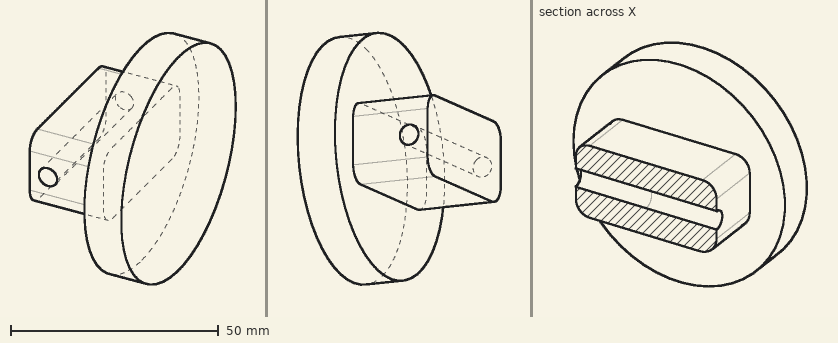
import cadquery as cq

flange_diameter = 60.0
flange_thickness = 10.0

overall_length = 30.0
block_length = overall_length - flange_thickness
block_width = 40.0
block_height = 20.0
corner_radius = 4.0
large_corner_radius = 5.0

hole_diameter = 5.0
hole_end_distance = 5.0


def make_flange():
    return cq.Workplane("YZ").circle(flange_diameter / 2).extrude(flange_thickness)


def make_block():
    block = cq.Workplane("YZ").rect(block_width, block_height).extrude(-block_length)
    block = block.edges("|X and >Z").fillet(corner_radius)
    block = block.edges("|X").edges("<Z").edges(">Y").fillet(corner_radius)
    return block.edges("|X").edges("<Z").edges("<Y").fillet(large_corner_radius)


def make_cross_hole():
    return (
        cq.Workplane("XZ")
        .center(hole_end_distance - block_length, 0)
        .circle(hole_diameter / 2)
        .extrude(block_width / 2, both=True)
    )


result = make_flange().union(make_block()).cut(make_cross_hole())